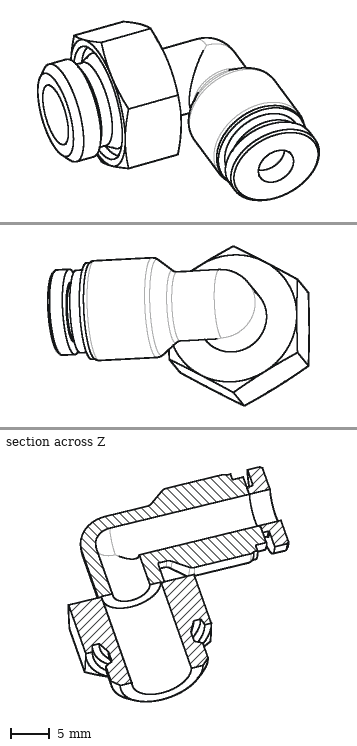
import cadquery as cq
import math


OVERALL_X = 30.2
OVERALL_Y = 28.0
COLLAR_DIAMETER = 13.0

HEX_SIDES = 6
HEX_ACROSS_FLATS = 17.0
HEX_TOP_Y = -7.45
HEX_LENGTH = 8.0
HEX_BOTTOM_Y = HEX_TOP_Y - HEX_LENGTH
HALF_SIDE_ANGLE = math.radians(180 / HEX_SIDES)
HEX_CHAMFER_ANGLE = math.radians(20)
THREAD_DIAMETER = 13.17
STUD_END_Y = COLLAR_DIAMETER / 2 - OVERALL_Y
THREAD_CHAMFER = 1.0
THREAD_LENGTH = 3.45
THREAD_REAR_Y = STUD_END_Y + THREAD_LENGTH
NECK_DIAMETER = 11.2
THREAD_REAR_ANGLE = math.radians(30)
STUD_BORE_DIAMETER = 8.0

RECESS_RIM_DIAMETER = 15.2
RECESS_DEPTH = 1.0
RECESS_WALL_ANGLE = math.radians(15)
NECK_ROOT_DIAMETER = 12.8
NECK_ROOT_LENGTH = 1.5

PIPE_DIAMETER = 9.0
BORE_DIAMETER = 5.0
COLLAR_LIP_DIAMETER = 12.55
COLLAR_RING_DIAMETER = 10.75
COLLAR_CONE_START_X = 5.98
COLLAR_CONE_END_X = 8.45
COLLAR_CONE_ROUND = 1.0
COLLAR_ROUND_START_X = 16.43
COLLAR_LIP_X = 16.9
COLLAR_LIP_END_X = 17.45
COLLAR_RING_END_X = 18.9

BUTTON_END_X = OVERALL_X - HEX_ACROSS_FLATS / 2
BUTTON_THICKNESS = 2.0
BUTTON_REAR_X = BUTTON_END_X - BUTTON_THICKNESS
BUTTON_WIDTH = 12.62
BUTTON_HEIGHT = 11.0
BUTTON_CHAMFER = 0.3
BUTTON_NECK_DIAMETER = 7.5
BUTTON_NECK_FLARE = 0.12


def port_plane(y):
    """Plane across the port axis at height y, with its normal along +Y."""
    return cq.Workplane(cq.Plane(origin=(0, y, 0), xDir=(1, 0, 0), normal=(0, 1, 0)))


def tube_plane(x):
    """Plane across the tube axis at x, with its local x along Y, local y along Z and normal along +X."""
    return cq.Workplane(cq.Plane(origin=(x, 0, 0), xDir=(0, 1, 0), normal=(1, 0, 0)))


def turned_about_port(points):
    """Solid of revolution about the Y axis from (radius, y) points."""
    return cq.Workplane("XY").polyline(points).close().revolve(360, (0, 0, 0), (0, 1, 0))


def make_hexagon():
    """Hexagonal prism with flats at -X and +X and its corners turned down at both ends."""
    flat_radius = HEX_ACROSS_FLATS / 2
    corner_radius = flat_radius / math.cos(HALF_SIDE_ANGLE)
    prism = (
        port_plane(HEX_BOTTOM_Y)
        .polygon(HEX_SIDES, 2 * corner_radius)
        .extrude(HEX_LENGTH)
        .rotate((0, 0, 0), (0, 1, 0), 180 / HEX_SIDES)
    )
    corner_drop = (corner_radius - flat_radius) * math.tan(HEX_CHAMFER_ANGLE)
    envelope = turned_about_port([
        (0, HEX_BOTTOM_Y),
        (flat_radius, HEX_BOTTOM_Y),
        (corner_radius, HEX_BOTTOM_Y + corner_drop),
        (corner_radius, HEX_TOP_Y - corner_drop),
        (flat_radius, HEX_TOP_Y),
        (0, HEX_TOP_Y),
    ])
    return prism.intersect(envelope)


def make_stud():
    """Hexagon with a seal recess, a necked thread and a through bore."""
    recess_floor_y = HEX_BOTTOM_Y + RECESS_DEPTH
    rim_radius = RECESS_RIM_DIAMETER / 2
    recess = turned_about_port([
        (0, HEX_BOTTOM_Y),
        (rim_radius, HEX_BOTTOM_Y),
        (rim_radius - RECESS_DEPTH * math.tan(RECESS_WALL_ANGLE), recess_floor_y),
        (0, recess_floor_y),
    ])

    thread_radius = THREAD_DIAMETER / 2
    neck_radius = NECK_DIAMETER / 2
    root_radius = NECK_ROOT_DIAMETER / 2
    thread_rear_rise = (thread_radius - neck_radius) * math.tan(THREAD_REAR_ANGLE)
    nose = turned_about_port([
        (0, STUD_END_Y),
        (thread_radius - THREAD_CHAMFER, STUD_END_Y),
        (thread_radius, STUD_END_Y + THREAD_CHAMFER),
        (thread_radius, THREAD_REAR_Y),
        (neck_radius, THREAD_REAR_Y + thread_rear_rise),
        (neck_radius, recess_floor_y - NECK_ROOT_LENGTH),
        (root_radius, recess_floor_y),
        (0, recess_floor_y),
    ])

    bore = port_plane(STUD_END_Y).circle(STUD_BORE_DIAMETER / 2).extrude(HEX_TOP_Y - STUD_END_Y)
    return make_hexagon().cut(recess).union(nose).cut(bore)


def make_bend(diameter, port_end_y, tube_leg):
    """Join a tube leg to a port leg, mitred at the inner corner and spherical at the outer corner."""
    port_leg = port_plane(port_end_y).circle(diameter / 2).extrude(-port_end_y)
    outer_corner = cq.Workplane("XY").sphere(diameter / 2)
    return port_leg.union(tube_leg).union(outer_corner)


def make_collar_leg():
    """Tube leg whose pipe widens through a cone with rounded ends into a stepped collar."""
    pipe_radius = PIPE_DIAMETER / 2
    collar_radius = COLLAR_DIAMETER / 2
    lip_radius = COLLAR_LIP_DIAMETER / 2
    ring_radius = COLLAR_RING_DIAMETER / 2
    leg = (
        cq.Workplane("XY")
        .moveTo(0, 0)
        .lineTo(0, pipe_radius)
        .lineTo(COLLAR_CONE_START_X, pipe_radius)
        .lineTo(COLLAR_CONE_END_X, collar_radius)
        .lineTo(COLLAR_ROUND_START_X, collar_radius)
        .tangentArcPoint((COLLAR_LIP_X, lip_radius), relative=False)
        .lineTo(COLLAR_LIP_END_X, lip_radius)
        .lineTo(COLLAR_LIP_END_X, ring_radius)
        .lineTo(COLLAR_RING_END_X, ring_radius)
        .lineTo(COLLAR_RING_END_X, 0)
        .close()
        .revolve(360, (0, 0, 0), (1, 0, 0))
    )
    cone_ends = cq.selectors.BoxSelector(
        (COLLAR_CONE_START_X / 2, -collar_radius, -collar_radius),
        ((COLLAR_CONE_END_X + COLLAR_ROUND_START_X) / 2, collar_radius, collar_radius),
    )
    circles = cq.selectors.TypeSelector("CIRCLE")
    return leg.edges(cq.selectors.AndSelector(cone_ends, circles)).fillet(COLLAR_CONE_ROUND)


def make_elbow():
    """Hollow elbow that stands on the hexagon and carries the collar."""
    outside = make_bend(PIPE_DIAMETER, HEX_TOP_Y, make_collar_leg())
    tube_bore = tube_plane(0).circle(BORE_DIAMETER / 2).extrude(COLLAR_RING_END_X)
    return outside.cut(make_bend(BORE_DIAMETER, HEX_TOP_Y, tube_bore))


def make_release_button():
    """Elliptical button on a round neck, bored through along the tube axis."""
    neck_radius = BUTTON_NECK_DIAMETER / 2
    head = (
        tube_plane(BUTTON_REAR_X)
        .ellipse(BUTTON_WIDTH / 2, BUTTON_HEIGHT / 2)
        .extrude(BUTTON_THICKNESS)
        .faces(">X")
        .chamfer(BUTTON_CHAMFER)
    )
    neck = (
        cq.Workplane("XY")
        .polyline([
            (COLLAR_RING_END_X, 0),
            (COLLAR_RING_END_X, neck_radius),
            (BUTTON_REAR_X - BUTTON_NECK_FLARE, neck_radius),
            (BUTTON_REAR_X, neck_radius + BUTTON_NECK_FLARE),
            (BUTTON_REAR_X, 0),
        ])
        .close()
        .revolve(360, (0, 0, 0), (1, 0, 0))
    )
    bore = tube_plane(COLLAR_RING_END_X).circle(BORE_DIAMETER / 2).extrude(BUTTON_END_X - COLLAR_RING_END_X)
    return head.union(neck).cut(bore)


stud = make_stud()
elbow = make_elbow()
release_button = make_release_button()

result = cq.Compound.makeCompound([body.solids().val() for body in (stud, elbow, release_button)])